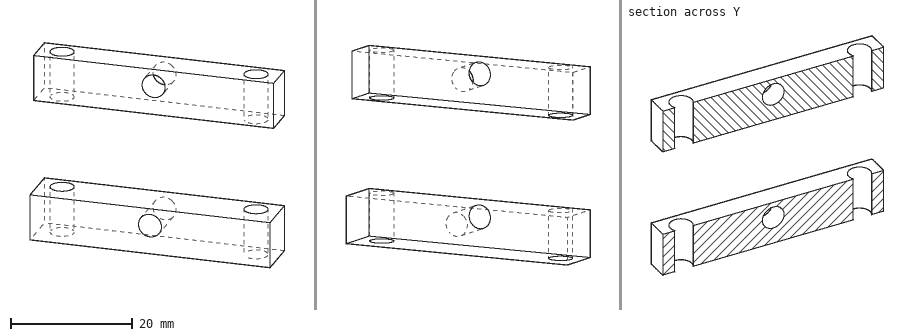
import cadquery as cq

bar_length = 41.5
bar_height = 8.0
overall_height = 32.0
lower_bar_depth = 8.0
upper_bar_depth = 6.0

hole_diameter = 4.0
end_hole_inset = 4.0
end_hole_setback = 3.0
cross_hole_drop = 3.0

upper_bar_base = overall_height - bar_height
end_hole_x = bar_length / 2 - end_hole_inset


def drilled_bar(depth, base_z):
    """Rectangular bar with two vertical end holes and a central cross hole."""
    bar = (
        cq.Workplane("XY", origin=(0, 0, base_z))
        .box(bar_length, depth, bar_height, centered=(True, False, False))
        .translate((0, -depth, 0))
    )
    end_holes = (
        cq.Workplane("XY", origin=(0, -end_hole_setback, base_z))
        .pushPoints([(-end_hole_x, 0), (end_hole_x, 0)])
        .circle(hole_diameter / 2)
        .extrude(bar_height)
    )
    cross_hole = (
        cq.Workplane("XZ", origin=(0, 0, base_z + bar_height - cross_hole_drop))
        .circle(hole_diameter / 2)
        .extrude(depth)
    )
    return bar.cut(end_holes).cut(cross_hole)


lower_bar = drilled_bar(lower_bar_depth, 0)
upper_bar = drilled_bar(upper_bar_depth, upper_bar_base)

result = cq.Compound.makeCompound([lower_bar.val(), upper_bar.val()])